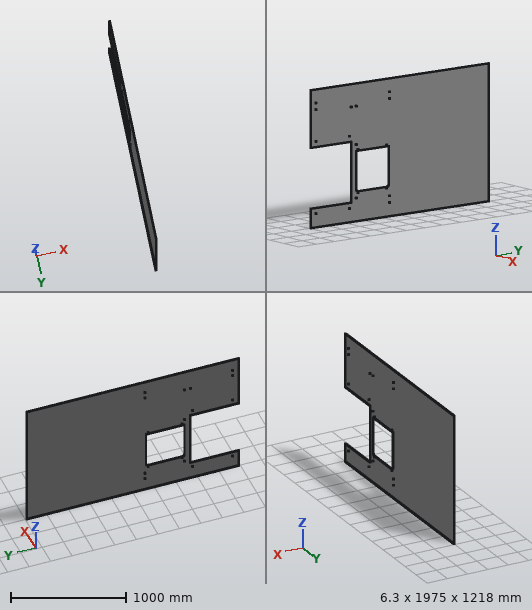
import cadquery as cq

thickness = 6.3
length = 1975
height = 1218.0

notch_depth = 452.0
notch_bottom = 172.0
notch_top = 709.0

window_size = 357.0
window_center_y = 685.0
window_center_z = 442.0
window_corner_radius = 20.0

hole_diameter = 6.3
outer_column_y = 57.0
notch_column_y = 430.0
notch_edge_hole_y = 450.0
strip_column_y = 505.0
far_column_y = 875.0
top_row_z = 1100.0
second_row_z = 1040.0
strip_top_z = 1017.0
above_notch_z = 760.0
strip_middle_z = 680.0
strip_bottom_z = 205.0
lower_row_z = 182.0
bottom_row_z = 122.0
window_hole_spacing_y = 315.0
window_hole_spacing_z = 383.0


def block(y_min, z_min, size_y, size_z):
    """Block of panel thickness with its lower corner at the given place."""
    return cq.Workplane("XY").box(thickness, size_y, size_z, centered=False).translate((0, y_min, z_min))


def make_window():
    cutter = block(
        window_center_y - window_size / 2,
        window_center_z - window_size / 2,
        window_size,
        window_size,
    )
    bottom_corners = cutter.faces("<Z").edges("|X")
    return bottom_corners.fillet(window_corner_radius)


def make_holes(centers):
    return cq.Workplane("YZ").pushPoints(centers).circle(hole_diameter / 2).extrude(thickness)


outer_holes = [(outer_column_y, z) for z in (top_row_z, second_row_z, above_notch_z, bottom_row_z)]
far_holes = [(far_column_y, z) for z in (top_row_z, second_row_z, lower_row_z, bottom_row_z)]
notch_holes = [(notch_column_y, z) for z in (above_notch_z, bottom_row_z)]
strip_holes = [(strip_column_y, z) for z in (strip_top_z, strip_middle_z, strip_bottom_z)]
strip_holes.append((notch_edge_hole_y, strip_top_z))
window_holes = [
    (window_center_y + side_y * window_hole_spacing_y / 2, window_center_z + side_z * window_hole_spacing_z / 2)
    for side_y in (-1, 1)
    for side_z in (-1, 1)
]

panel = block(0, 0, length, height)
notch = block(0, notch_bottom, notch_depth, notch_top - notch_bottom)
holes = make_holes(outer_holes + far_holes + notch_holes + strip_holes + window_holes)

result = panel.cut(notch).cut(make_window()).cut(holes)